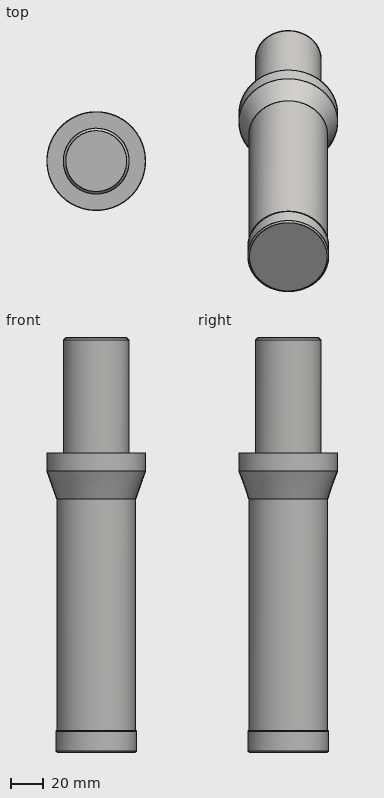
import cadquery as cq

total_height = 252.0
pin_diameter = 40.0
pin_length = 70.0
pin_chamfer = 1.5
flange_diameter = 60.0
flange_thickness = 11.0
cone_height = 17.0
shank_diameter = 48.0

cap_diameter = 49.2
cap_height = 13.5
cap_bottom_chamfer = 1.0
cap_top_chamfer = (cap_diameter - shank_diameter) / 2

flange_top = total_height - pin_length
flange_bottom = flange_top - flange_thickness
cone_bottom = flange_bottom - cone_height


def make_post():
    """Pin, flange, tapered neck and shank turned as one piece, ending on the cap."""
    pin_radius = pin_diameter / 2
    flange_radius = flange_diameter / 2
    shank_radius = shank_diameter / 2
    return (
        cq.Workplane("XZ")
        .moveTo(0, cap_height)
        .lineTo(shank_radius, cap_height)
        .lineTo(shank_radius, cone_bottom)
        .lineTo(flange_radius, flange_bottom)
        .lineTo(flange_radius, flange_top)
        .lineTo(pin_radius, flange_top)
        .lineTo(pin_radius, total_height - pin_chamfer)
        .lineTo(pin_radius - pin_chamfer, total_height)
        .lineTo(0, total_height)
        .close()
        .revolve(360, (0, 0, 0), (0, 1, 0))
    )


def make_cap():
    """Disc under the shank; its upper chamfer runs in to the shank diameter."""
    return (
        cq.Workplane("XY")
        .circle(cap_diameter / 2)
        .extrude(cap_height)
        .faces(">Z")
        .chamfer(cap_top_chamfer)
        .faces("<Z")
        .chamfer(cap_bottom_chamfer)
    )


post = make_post()
cap = make_cap()
result = cq.Compound.makeCompound([post.val(), cap.val()])